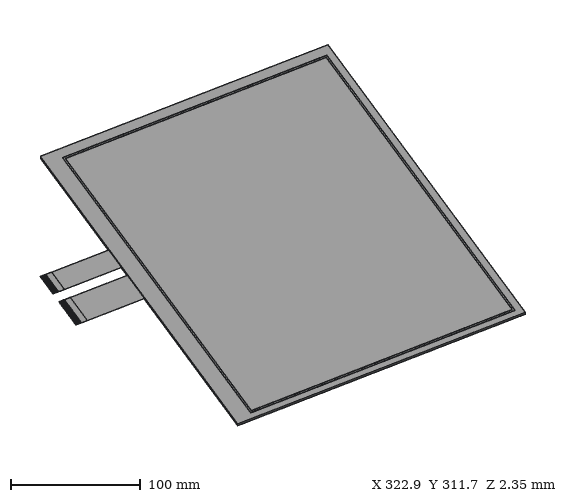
import cadquery as cq

panel_width = 322.9
overall_height = 311.7
panel_thickness = 2.35
panel_height = 251.7

active_width = 304.3
active_height = 228.2
active_left = 11.1
active_top_margin = 7.5
groove_width_x = 1.8
groove_width_y = 1.5
groove_depth = 0.5

tails = [(112.0, 21.0), (142.5, 28.0)]
tail_length = overall_height - panel_height
tail_overlap = 5.0
tail_bottom = 1.1
tail_thickness = 0.2

stiffener_length = 10.0
stiffener_thickness = 0.2

contact_length = 5.0
contact_relief = 0.12
contact_thickness = 0.04
contact_width = 0.5
contact_pitch = 1.0


def block(left, bottom, base, width, height, thickness):
    """Axis-aligned box placed by its lowest corner."""
    corner = (left, bottom, base)
    return cq.Workplane("XY").box(width, height, thickness, centered=False).translate(corner)


def make_panel():
    """Flat plate with a rectangular groove around the active area."""
    active_bottom = panel_height - active_top_margin - active_height
    groove_floor = panel_thickness - groove_depth
    groove_outer = block(
        active_left - groove_width_x,
        active_bottom - groove_width_y,
        groove_floor,
        active_width + 2 * groove_width_x,
        active_height + 2 * groove_width_y,
        groove_depth,
    )
    active_area = block(active_left, active_bottom, groove_floor, active_width, active_height, groove_depth)
    plate = block(0, 0, 0, panel_width, panel_height, panel_thickness)
    return plate.cut(groove_outer.cut(active_area))


def make_tail(left, width):
    """Thin tail with a stiffened tip and a row of contacts beneath it."""
    tip = -tail_length
    tail_top = tail_bottom + tail_thickness
    relief_top = tail_bottom + contact_relief
    tail = block(left, tip, tail_bottom, width, tail_length + tail_overlap, tail_thickness)
    tail = tail.union(block(left, tip, tail_top, width, stiffener_length, stiffener_thickness))
    tail = tail.cut(block(left, tip, tail_bottom, width, contact_length, contact_relief))

    contact_count = int(width / contact_pitch) - 1
    first_center = left + (width - (contact_count - 1) * contact_pitch) / 2
    for index in range(contact_count):
        contact_left = first_center + index * contact_pitch - contact_width / 2
        contact = block(
            contact_left,
            tip,
            relief_top - contact_thickness,
            contact_width,
            contact_length,
            contact_thickness,
        )
        tail = tail.union(contact)
    return tail


result = make_panel()
for tail_left, tail_width in tails:
    result = result.union(make_tail(tail_left, tail_width))